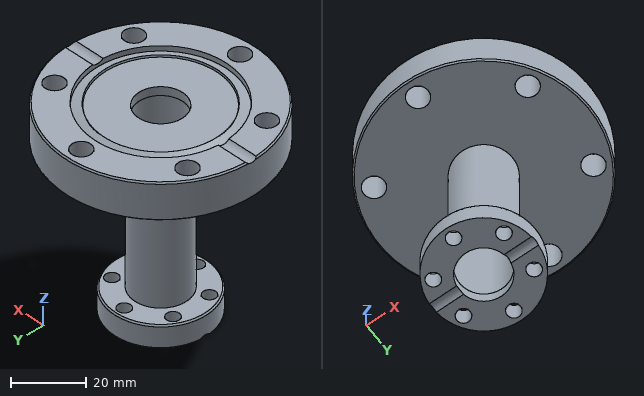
import cadquery as cq

TOTAL_HEIGHT = 70.0
BORE_DIAMETER = 16.0
TUBE_DIAMETER = 19.0

LARGE_DIAMETER = 70.0
LARGE_THICKNESS = 12.9
LARGE_HOLE_DIAMETER = 6.7
LARGE_HOLE_CIRCLE = 58.8
LARGE_GROOVE_WIDTH = 3.9
LARGE_GROOVE_DEPTH = 0.8

RECESS_DIAMETER = 48.3
RECESS_DEPTH = 1.8
KNIFE_EDGE_DIAMETER = 41.85
KNIFE_EDGE_DEPTH = 0.55
RECESS_FLOOR_DIAMETER = 41.45
RECESS_FLOOR_DEPTH = 1.2

SMALL_DIAMETER = 34.0
SMALL_THICKNESS = 7.55
SMALL_HOLE_DIAMETER = 4.4
SMALL_HOLE_CIRCLE = 27.0
SMALL_GROOVE_WIDTH = 3.15
SMALL_GROOVE_DEPTH = 0.6

EDGE_CHAMFER = 0.5
BOLT_COUNT = 6
FIRST_BOLT_ANGLE = 30.0
SOCKET_INSET = 4.2

LARGE_BASE = TOTAL_HEIGHT - LARGE_THICKNESS
TUBE_BOTTOM = SOCKET_INSET
TUBE_TOP = TOTAL_HEIGHT - SOCKET_INSET


def cylinder(diameter, bottom, top):
    """Upright cylinder on the common axis."""
    return cq.Workplane("XY").workplane(offset=bottom).circle(diameter / 2).extrude(top - bottom)


def bolt_holes(diameter, circle, bottom, top):
    """Ring of vertical through-hole cutters."""
    return (
        cq.Workplane("XY")
        .workplane(offset=bottom)
        .polarArray(circle / 2, FIRST_BOLT_ANGLE, 360, BOLT_COUNT)
        .circle(diameter / 2)
        .extrude(top - bottom)
    )


def leak_groove(width, depth, face_height, outward, length):
    """Round-bottomed groove cutter along X; outward is +1 for a top face, -1 for a bottom face."""
    radius = ((width / 2) ** 2 + depth**2) / (2 * depth)
    axis_height = face_height + outward * (radius - depth)
    return (
        cq.Workplane("YZ")
        .center(0, axis_height)
        .circle(radius)
        .extrude(length / 2, both=True)
    )


def sealing_recess():
    """Annular recess with a knife edge around a slightly sunken floor."""
    knife_edge_radius = KNIFE_EDGE_DIAMETER / 2
    return (
        cq.Workplane("XZ")
        .moveTo(0, TOTAL_HEIGHT)
        .lineTo(RECESS_DIAMETER / 2, TOTAL_HEIGHT)
        .lineTo(RECESS_DIAMETER / 2, TOTAL_HEIGHT - RECESS_DEPTH)
        .lineTo(knife_edge_radius, TOTAL_HEIGHT - KNIFE_EDGE_DEPTH)
        .lineTo(RECESS_FLOOR_DIAMETER / 2, TOTAL_HEIGHT - RECESS_FLOOR_DEPTH)
        .lineTo(0, TOTAL_HEIGHT - RECESS_FLOOR_DEPTH)
        .close()
        .revolve(360, (0, 0, 0), (0, 1, 0))
    )


def make_large_flange():
    """Top flange: bore above a tube socket, knife-edge recess and two leak-check grooves."""
    body = cylinder(LARGE_DIAMETER, LARGE_BASE, TOTAL_HEIGHT).edges().chamfer(EDGE_CHAMFER)
    grooves = leak_groove(
        LARGE_GROOVE_WIDTH, LARGE_GROOVE_DEPTH, TOTAL_HEIGHT, 1, LARGE_DIAMETER
    ).cut(cylinder(RECESS_DIAMETER, LARGE_BASE, TOTAL_HEIGHT))
    return (
        body.cut(sealing_recess())
        .cut(grooves)
        .cut(cylinder(BORE_DIAMETER, LARGE_BASE, TOTAL_HEIGHT))
        .cut(cylinder(TUBE_DIAMETER, LARGE_BASE, TUBE_TOP))
        .cut(bolt_holes(LARGE_HOLE_DIAMETER, LARGE_HOLE_CIRCLE, LARGE_BASE, TOTAL_HEIGHT))
    )


def make_small_flange():
    """Bottom flange: bore below a tube socket, with a leak-check groove across the bottom face."""
    body = cylinder(SMALL_DIAMETER, 0, SMALL_THICKNESS).faces(">Z").edges().chamfer(EDGE_CHAMFER)
    groove = leak_groove(SMALL_GROOVE_WIDTH, SMALL_GROOVE_DEPTH, 0, -1, SMALL_DIAMETER)
    return (
        body.cut(groove)
        .cut(cylinder(BORE_DIAMETER, 0, SMALL_THICKNESS))
        .cut(cylinder(TUBE_DIAMETER, TUBE_BOTTOM, SMALL_THICKNESS))
        .cut(bolt_holes(SMALL_HOLE_DIAMETER, SMALL_HOLE_CIRCLE, 0, SMALL_THICKNESS))
    )


def make_tube():
    """Straight pipe seated in the sockets of both flanges."""
    outside = cylinder(TUBE_DIAMETER, TUBE_BOTTOM, TUBE_TOP)
    return outside.cut(cylinder(BORE_DIAMETER, TUBE_BOTTOM, TUBE_TOP))


large_flange = make_large_flange().solids()
small_flange = make_small_flange().solids()
tube = make_tube().solids()

result = cq.Compound.makeCompound([large_flange.val(), small_flange.val(), tube.val()])